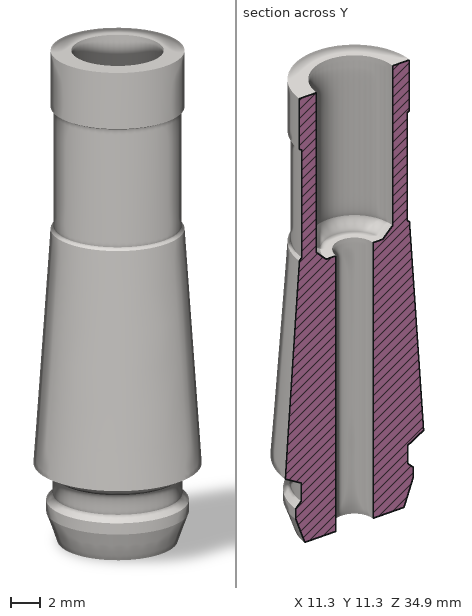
import cadquery as cq
import math

nose_diameter = 8.1
bead_diameter = 9.6
groove_diameter = 8.7
body_bottom_diameter = 11.3
neck_diameter = 8.6
collar_diameter = 9.0
body_top_diameter = collar_diameter

total_height = 34.9
nose_height = 2.1
bead_top = 2.9
groove_bottom = bead_top + (bead_diameter - groove_diameter) / 2
body_bottom = 5.5
body_underside_angle = 30.0
body_underside_width = (body_bottom_diameter - groove_diameter) / 2
groove_top = body_bottom - body_underside_width * math.tan(math.radians(body_underside_angle))
neck_bottom = 22.4
shoulder_height = (body_top_diameter - neck_diameter) / 2
collar_height = 4.0
collar_bottom = total_height - collar_height
collar_taper_height = 0.1

socket_diameter = 6.2
seat_diameter = 4.6
hole_diameter = 3.0
socket_bottom = neck_bottom
seat_level = socket_bottom - (socket_diameter - seat_diameter) / 2


def revolve_steps(steps):
    """Revolve a solid about Z from (diameter, height) steps listed bottom to top."""
    outline = [(diameter / 2, height) for diameter, height in steps]
    bottom_center = (0, steps[0][1])
    top_center = (0, steps[-1][1])
    profile = cq.Workplane("XZ").polyline([bottom_center] + outline + [top_center]).close()
    return profile.revolve(360, (0, 0, 0), (0, 1, 0))


def make_body():
    """Outer shape: tapered nose, snap bead, groove, tapered body, neck and collar."""
    return revolve_steps([
        (nose_diameter, 0),
        (bead_diameter, nose_height),
        (bead_diameter, bead_top),
        (groove_diameter, groove_bottom),
        (groove_diameter, groove_top),
        (body_bottom_diameter, body_bottom),
        (body_top_diameter, neck_bottom - shoulder_height),
        (neck_diameter, neck_bottom),
        (neck_diameter, collar_bottom - collar_taper_height),
        (collar_diameter, collar_bottom),
        (collar_diameter, total_height),
    ])


def make_bore():
    """Bore volume running the full height of the part."""
    return revolve_steps([
        (hole_diameter, 0),
        (hole_diameter, seat_level),
        (seat_diameter, seat_level),
        (socket_diameter, socket_bottom),
        (socket_diameter, total_height),
    ])


result = make_body().cut(make_bore())